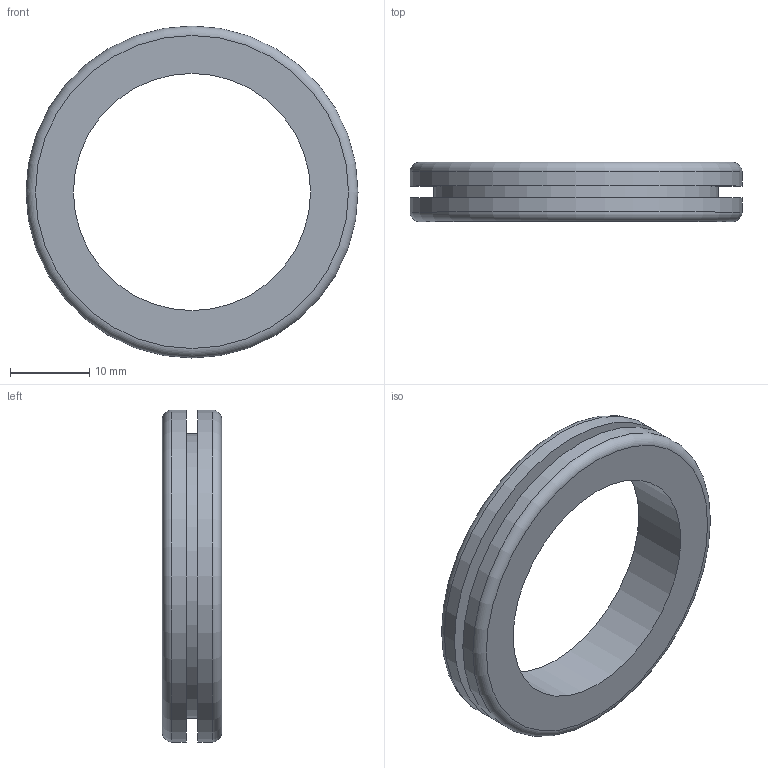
import cadquery as cq

outer_diameter = 42.0
bore_diameter = 30.0
width = 7.5

groove_diameter = 36.0
groove_width = 1.5

rim_fillet = 1.2


def cylinder_along_y(diameter, length):
    """Solid cylinder on the Y axis, centred on the origin."""
    return cq.Workplane("XZ", origin=(0, length / 2, 0)).circle(diameter / 2).extrude(length)


def ring_blank():
    """Disc with rounded rim edges and a plain through bore."""
    disc = cylinder_along_y(outer_diameter, width)
    rounded_disc = disc.faces("<Y or >Y").edges().fillet(rim_fillet)
    return rounded_disc.cut(cylinder_along_y(bore_diameter, width))


def groove_cutter():
    """Annulus that removes the groove from the rim."""
    outside = cylinder_along_y(outer_diameter, groove_width)
    return outside.cut(cylinder_along_y(groove_diameter, groove_width))


result = ring_blank().cut(groove_cutter())